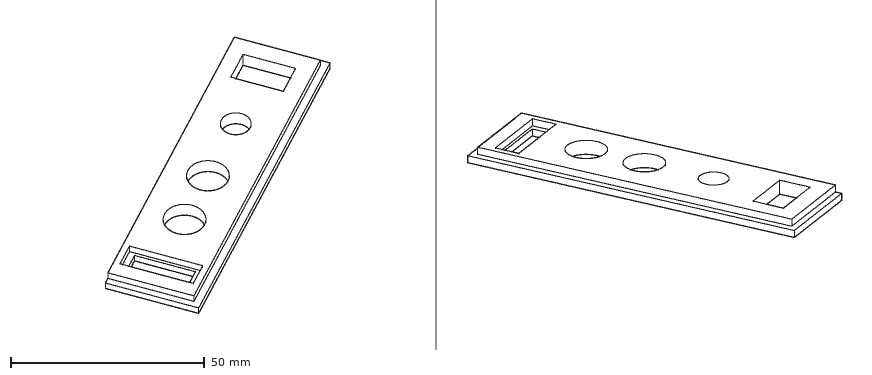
import cadquery as cq

base_width = 25.8
base_length = 96.0
total_height = 4.0
base_height = total_height / 2
lip = 1.8
side_lip = 2.0
panel_width = base_width - side_lip
panel_length = base_length - 2 * lip

opening_x = 11.6
window_width = 14.5
window_length = 8.9
window_y = 36.6
round_holes = [(16.6, 8.0), (-3.7, 11.0), (-20.8, 11.0)]

slot_x = panel_width / 2
slot_y = -38.5
slot_width = 16.8
slot_length = 5.2
recess_width = 20.3
recess_length = 6.9
recess_depth = total_height / 2


def block(width, length, height, x, y, z):
    """Box centred on (x, y), with its underside at z."""
    return cq.Workplane("XY").box(width, length, height, centered=(True, True, False)).translate((x, y, z))


plate = block(base_width, base_length, base_height, base_width / 2, 0, 0)
plate = plate.union(block(panel_width, panel_length, total_height, panel_width / 2, 0, 0))

plate = plate.cut(block(window_width, window_length, total_height, opening_x, window_y, 0))

for hole_y, diameter in round_holes:
    hole = cq.Workplane("XY").center(opening_x, hole_y).circle(diameter / 2).extrude(total_height)
    plate = plate.cut(hole)

plate = plate.cut(block(slot_width, slot_length, total_height, slot_x, slot_y, 0))
recess_floor = total_height - recess_depth
plate = plate.cut(block(recess_width, recess_length, recess_depth, slot_x, slot_y, recess_floor))

result = plate